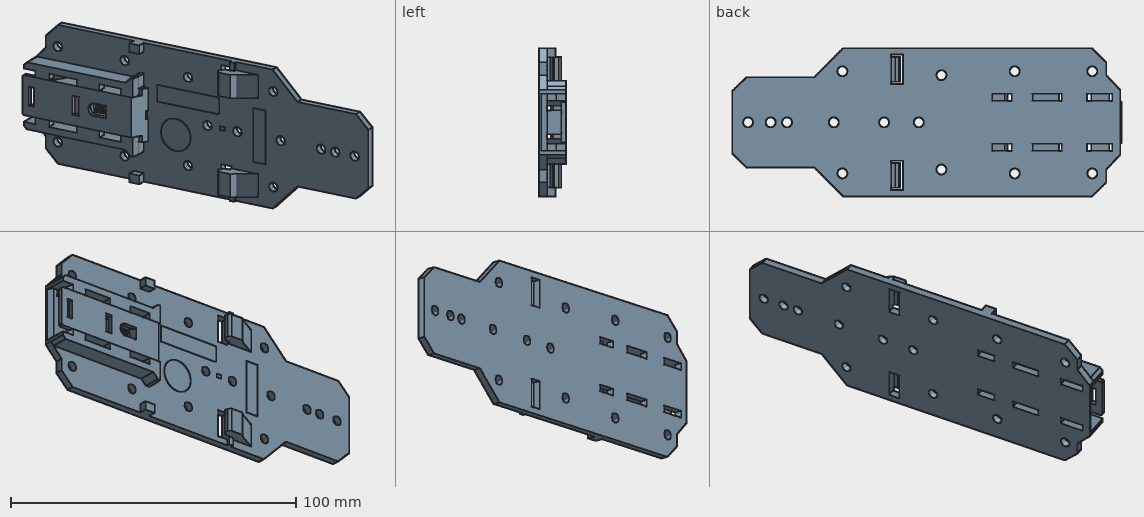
import cadquery as cq


total_depth = 9.5
plate_thickness = 2.9
plate_width = 52.0
plate_half_width = plate_width / 2
guide_start = 0.5
guide_end = 45.4
channel_half_width = 10.0
lip_gap_half_width = 7.5
lip_depth = 6.1
shell_depth = 7.9

plate_end = 136.6
corner_half_width = 11.3
notch_half_width = 16.5
shoulder_half_width = 21.0
shoulder_start = 5.5
shoulder_end = 10.5
body_end = 97.7
neck_start = 107.8
neck_end = 131.6
neck_half_width = 15.9
tip_half_width = 11.0
hole_diameter = 3.4
side_holes = [(10.4, 17.9), (37.6, 17.9), (63.3, 16.5), (98.0, 17.9)]
centre_holes = [71.2, 83.4, 101.0, 117.4, 123.1, 131.0]
mark_depth = 0.1
round_mark_x = 58.3
round_mark_z = -6.0
round_mark_radius = 6.0
label_x = (50.8, 76.0)
label_z = (5.0, 11.3)
label_corner_radius = 0.7
pad_x = (89.8, 94.8)
pad_half_height = 10.1
small_pad_x = (76.3, 78.3)
small_pad_half_height = 0.7
bump_start = 41.3
bump_width = 3.3
bump_depth = 5.9

guide_wall_start = 1.8
guide_half_width = 12.6
flare_half_width = 14.6
flare_start = 41.7
flare_full = 43.9
flare_bevel_run = 0.5
flare_bevel_depth = 6.8
entry_ramp_length = 1.2
entry_ramp_depth = 0.8
lip_spans = [(4.4, 10.8), (22.0, 31.3), (40.0, guide_end)]
relief_spans = [(3.4, 12.2), (21.2, 31.3), (38.7, guide_end)]
lip_lead_in = 0.8

clip_offset = 18.6
clip_width = 8.7
clip_window_start = 76.8
clip_window_width = 10.2
clip_stem = 80.9
clip_stem_end = 82.8
clip_end = 91.8
clip_neck_depth = 4.0
clip_head_points = [
    (79.5, clip_neck_depth), (78.2, 4.9), (77.8, 5.5), (77.8, 7.0), (78.7, 7.9), (83.5, 7.9), (85.3, 6.5),
]

shell_corner = 0.5
latch_slope_start = 44.3
latch_tip = 48.0
latch_tip_depth = 4.1
latch_start = 41.0
latch_notch_length = 0.5
latch_notch_half_width = 1.5
passage_ramp_length = 2.2
passage_ramp_depth = 5.0
rail_inner = 5.7
rail_start = 12.3
rail_slant = 3.5
block_start = 24.2
block_end = 36.3
block_half_width = 4.2
cavity_start = 26.5
cavity_end = 33.9
cavity_half_width = 3.0
window_start = 26.8
window_half_width = 2.3
slot_half_height = 3.5
shell_slots = [(2.6, 4.6), (20.2, 22.8)]

wire_radius = 0.34
coil_radius = 2.0
coil_pitch = 1.4
coil_turns = 4.5


def block(x0, x1, depth0, depth1, z0, z1):
    """Box between two X, two depths and two Z positions."""
    return cq.Workplane("XY").box(x1 - x0, depth1 - depth0, z1 - z0, centered=False).translate(
        (x0, -depth1, z0)
    )


def front_outline(points, depth0, depth1):
    """Prism with an outline of (X, Z) points between two depths."""
    return cq.Workplane("XZ", origin=(0, -depth0, 0)).polyline(points).close().extrude(depth1 - depth0)


def side_profile(points, z0, z1):
    """Prism with a profile of (X, depth) points between two Z positions."""
    outline = [(x, -depth) for x, depth in points]
    return cq.Workplane("XY", origin=(0, 0, z0)).polyline(outline).close().extrude(z1 - z0)


def both_sides(upper):
    """Shape together with its mirror image across the centreline."""
    return upper.union(upper.mirror("XY"))


def mirrored_outline(upper_points):
    """Closed outline from the points of its upper half."""
    return upper_points + [(x, -z) for x, z in reversed(upper_points)]


def make_plate_sheet():
    upper = [
        (guide_start, corner_half_width),
        (shoulder_start, notch_half_width), (shoulder_start, shoulder_half_width),
        (shoulder_end, plate_half_width), (body_end, plate_half_width),
        (neck_start, neck_half_width), (neck_end, neck_half_width), (plate_end, tip_half_width),
    ]
    sheet = front_outline(mirrored_outline(upper), 0, plate_thickness)
    for x, z in side_holes:
        sheet = sheet.cut(both_sides(make_hole(x, z)))
    for x in centre_holes:
        sheet = sheet.cut(make_hole(x, 0))
    return sheet


def make_hole(x, z):
    return cq.Workplane("XZ").center(x, z).circle(hole_diameter / 2).extrude(plate_thickness)


def make_marks():
    """Shallow recesses: a round mark, a label field, a long pad and a small pad."""
    floor = plate_thickness - mark_depth
    mark_plane = cq.Workplane("XZ", origin=(round_mark_x, -floor, round_mark_z))
    mark = mark_plane.circle(round_mark_radius).extrude(mark_depth)
    label = block(*label_x, floor, plate_thickness, *label_z).edges("|Y and >X").fillet(label_corner_radius)
    pad = block(*pad_x, floor, plate_thickness, -pad_half_height, pad_half_height)
    small_pad = block(*small_pad_x, floor, plate_thickness, -small_pad_half_height, small_pad_half_height)
    return mark.union(label).union(pad).union(small_pad)


def make_bumps():
    return both_sides(block(
        bump_start, guide_end, plate_thickness, bump_depth,
        plate_half_width - bump_width, plate_half_width,
    ))


def make_guide():
    """Walls of the slide channel, flared at the far end, with three lips on each side."""
    upper = [
        (guide_start, corner_half_width), (guide_wall_start, guide_half_width),
        (flare_start, guide_half_width),
        (flare_full, flare_half_width), (guide_end, flare_half_width),
    ]
    guide = front_outline(mirrored_outline(upper), plate_thickness, total_depth)
    guide = guide.cut(block(
        guide_start, guide_end, plate_thickness, total_depth, -channel_half_width, channel_half_width,
    ))
    for start, end in lip_spans:
        lead_in = lip_lead_in if start == lip_spans[0][0] else 0
        profile = [(start, lip_depth), (end, lip_depth), (end, total_depth), (start + lead_in, total_depth)]
        guide = guide.union(both_sides(side_profile(profile, lip_gap_half_width, channel_half_width)))
    bevel = [
        (guide_end, flare_bevel_depth), (guide_end, total_depth), (guide_end - flare_bevel_run, total_depth),
    ]
    return guide.cut(side_profile(bevel, -flare_half_width, flare_half_width))


def make_clip():
    """Hooked clip on the upper side, with a rib joining its neck to the plate edge."""
    profile = [
        (clip_stem, plate_thickness), (clip_stem, clip_neck_depth),
        *clip_head_points,
        (clip_end, plate_thickness),
    ]
    low = clip_offset - clip_width / 2
    high = clip_offset + clip_width / 2
    rib = block(clip_stem, clip_stem_end, plate_thickness, clip_neck_depth, high, plate_half_width)
    return side_profile(profile, low, high).union(rib)


def make_plate():
    plate = make_plate_sheet().cut(make_marks()).union(make_bumps()).union(make_guide())
    for start, end in relief_spans:
        plate = plate.cut(both_sides(block(
            start, end, 0, plate_thickness, lip_gap_half_width, channel_half_width,
        )))
    ramp = [
        (guide_start, entry_ramp_depth), (guide_start, plate_thickness),
        (guide_start + entry_ramp_length, plate_thickness),
    ]
    plate = plate.cut(side_profile(ramp, -channel_half_width, channel_half_width))
    window = block(
        clip_window_start, clip_stem, 0, plate_thickness,
        clip_offset - clip_window_width / 2, clip_offset + clip_window_width / 2,
    )
    return plate.cut(both_sides(window)).union(both_sides(make_clip()))


def make_latch():
    """Wide sloped latch at the far end of the slide; its outer parts pass under the lips."""
    profile = [
        (latch_start, plate_thickness), (guide_end, plate_thickness), (guide_end, latch_tip_depth),
        (latch_tip, latch_tip_depth), (latch_slope_start, total_depth), (latch_start, total_depth),
    ]
    latch = side_profile(profile, -channel_half_width, channel_half_width)
    latch = latch.cut(both_sides(block(
        latch_start, latch_tip, lip_depth, total_depth, lip_gap_half_width, channel_half_width,
    )))
    passage_profile = [
        (latch_start, plate_thickness), (guide_end, plate_thickness), (guide_end, latch_tip_depth),
        (latch_start + passage_ramp_length, latch_tip_depth), (latch_start, passage_ramp_depth),
    ]
    passage = side_profile(passage_profile, block_half_width, rail_inner)
    notch = block(
        latch_tip - latch_notch_length, latch_tip, latch_tip_depth, total_depth,
        -latch_notch_half_width, latch_notch_half_width,
    )
    return latch.cut(both_sides(passage)).cut(notch)


def make_slide():
    shell = block(
        0, latch_start, shell_depth, total_depth, -lip_gap_half_width, lip_gap_half_width,
    ).edges("|Y and <X").chamfer(shell_corner)
    for start, end in shell_slots:
        shell = shell.cut(block(start, end, shell_depth, total_depth, -slot_half_height, slot_half_height))
    rail = [
        (rail_start, shell_depth), (rail_start + rail_slant, plate_thickness),
        (latch_start, plate_thickness), (latch_start, shell_depth),
    ]
    slide = shell.union(both_sides(side_profile(rail, rail_inner, lip_gap_half_width)))
    spring_block = block(
        block_start, block_end, plate_thickness, shell_depth, -block_half_width, block_half_width,
    )
    cavity = block(
        cavity_start, cavity_end, plate_thickness, shell_depth, -cavity_half_width, cavity_half_width,
    )
    window = (
        cq.Workplane("XZ", origin=(0, -shell_depth, 0))
        .moveTo(cavity_end, -window_half_width)
        .lineTo(cavity_end, window_half_width)
        .lineTo(window_start + window_half_width, window_half_width)
        .threePointArc((window_start, 0), (window_start + window_half_width, -window_half_width))
        .close()
        .extrude(total_depth - shell_depth)
    )
    return slide.union(spring_block).cut(cavity).cut(window).union(make_latch())


def make_spring():
    """Coil spring lying along X in the slide's cavity."""
    axis_depth = (plate_thickness + shell_depth) / 2
    coil_length = coil_pitch * coil_turns
    path = cq.Wire.makeHelix(coil_pitch, coil_length, coil_radius)
    coil = cq.Workplane("XZ").center(coil_radius, 0).circle(wire_radius).sweep(path, isFrenet=True)
    start = (cavity_start + cavity_end - coil_length) / 2
    return coil.rotate((0, 0, 0), (0, 1, 0), 90).translate((start, -axis_depth, 0))


plate = make_plate()
slide = make_slide()
spring = make_spring()
result = cq.Compound.makeCompound([plate.solids().val(), slide.solids().val(), spring.val()])